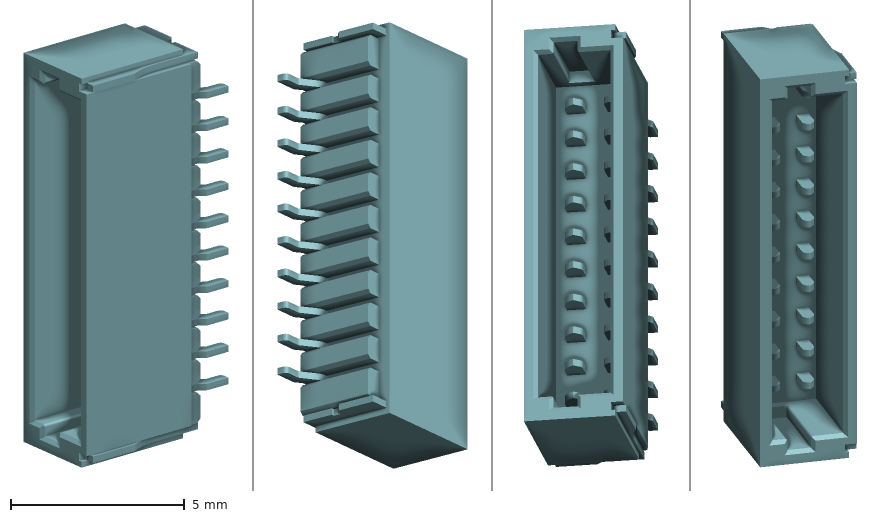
import cadquery as cq


overall_length = 12.0
housing_width = 2.67
housing_depth = 3.75
lip_right = 2.90
lip_depth = 3.87
lip_end_gap = 0.42

mouth_chamfer = 0.11
cavity_left = 0.39
cavity_right = 2.52
cavity_end_wall = 0.75
cavity_depth = 2.9
key_left = 0.85
key_right = 1.55
key_end_wall = 0.40
key_depth = 2.6
key_corner_radius = 0.08

contact_count = 10
pitch = 1.0
contact_thickness = 0.2
pin_tip_y = 2.1
left_pin = (0.72, 1.28)
left_pin_tip = (1.04, 1.06)
left_tip_height = 0.5
right_pin = (1.92, 2.30)
right_pin_tip = (2.08, 2.14)
right_tip_height = 0.2
bevel_height = 0.2
bevel_radius = 0.2

foot_left = 2.62
foot_right = 2.95
foot_end_y = 5.21
foot_corner_radius = 0.13
foot_outer_bend_y = 4.64
foot_inner_bend_y = 4.42
shank_left = 2.20
shank_right = 2.78
shank_outer_bend_y = 4.05
shank_bend_radius = 0.38
foot_bend_radius = 0.12
shank_inner_bend_y = 4.20

rib_left = 0.39
rib_right = 2.83
rib_back_y = 4.26
rib_slot = 0.28
rib_chamfer = 0.11

clip_thickness = 0.2
clip_end_gap = 0.18
clip_left = 0.11
clip_inner = 2.545
clip_waist_right = 2.74
clip_right = foot_right
clip_front_y = 0.2
clip_corner_radius = 0.19
clip_flare_start_y = 2.63
clip_flare_end_y = 1.75
clip_back_y = 4.40
clip_back_low_y = 4.24
clip_slope_left = 1.33
clip_notch_right = 1.71
clip_notch_y = 4.13

half_length = overall_length / 2
overlap = 0.1


def box(x_min, x_max, y_min, y_max, z_min, z_max):
    """Box given by its limits."""
    size = (x_max - x_min, y_max - y_min, z_max - z_min)
    return cq.Workplane("XY").box(*size, centered=False).translate((x_min, y_min, z_min))


def plate(outline, thickness, z_middle):
    """Extrude a closed XY outline to a plate centred on z_middle."""
    return outline.extrude(thickness).translate((0, 0, z_middle - thickness / 2))


def fillet_at(part, x, y, radius):
    """Round the upright edge of a plate that passes through (x, y)."""
    return part.edges("|Z").edges(cq.selectors.NearestToPointSelector((x, y, 0))).fillet(radius)


def row_height(row):
    """Z of a contact row."""
    return (row - (contact_count - 1) / 2) * pitch


def make_housing():
    """Solid block with the raised strip along its right-hand wall."""
    block = box(0, housing_width, 0, housing_depth, -half_length, half_length)
    lip_end = half_length - lip_end_gap
    lip = box(housing_width - overlap, lip_right, 0, lip_depth, -lip_end, lip_end)
    return block.union(lip)


def make_cavity():
    """Rectangular socket with a key recess at each end."""
    end = half_length - cavity_end_wall
    key_end = half_length - key_end_wall
    socket = box(cavity_left, cavity_right, 0, cavity_depth, -end, end)
    key = box(key_left, key_right, 0, key_depth, -key_end, key_end)
    cavity = socket.union(key)
    for x in (key_left, key_right):
        for z in (-end, end):
            corner = cq.selectors.NearestToPointSelector((x, key_depth / 2, z))
            cavity = cavity.edges("|Y").edges(corner).fillet(key_corner_radius)
    return cavity


def make_mouth():
    """Flared opening: the cavity outline grown at the mating face."""
    end = half_length - cavity_end_wall
    key_end = half_length - key_end_wall

    def flared(x_min, x_max, z_end):
        grow = mouth_chamfer
        return (
            cq.Workplane("XZ")
            .center((x_min + x_max) / 2, 0)
            .rect(x_max - x_min + 2 * grow, 2 * (z_end + grow))
            .workplane(offset=-grow)
            .rect(x_max - x_min, 2 * z_end)
            .loft(ruled=True)
        )

    return flared(cavity_left, cavity_right, end).union(flared(key_left, key_right, key_end))


def make_ribs():
    """Rear ribs, left standing between the contact slots."""
    rib_edges = [-(half_length - lip_end_gap)]
    for row in range(contact_count):
        z = row_height(row)
        rib_edges += [z - rib_slot / 2, z + rib_slot / 2]
    rib_edges.append(half_length - lip_end_gap)
    ribs = cq.Workplane("XY")
    for z_min, z_max in zip(rib_edges[0::2], rib_edges[1::2]):
        rib = box(rib_left, rib_right, housing_depth - overlap, rib_back_y, z_min, z_max)
        ribs = ribs.union(rib.faces(">Y").edges("|X").chamfer(rib_chamfer))
    return ribs


def make_pin(sides, tip, tip_height):
    """Blade standing on the cavity floor, its point rounded on the left and bevelled on the right."""
    shoulder_y = pin_tip_y + tip_height
    bevel_y = pin_tip_y + bevel_height
    root_y = cavity_depth + overlap
    outline = (
        cq.Workplane("XY")
        .moveTo(sides[0], root_y)
        .lineTo(sides[0], shoulder_y)
        .tangentArcPoint((tip[0], pin_tip_y), relative=False)
        .lineTo(tip[1], pin_tip_y)
        .lineTo(sides[1], bevel_y)
        .lineTo(sides[1], root_y)
        .close()
    )
    pin = plate(outline, contact_thickness, 0)
    return fillet_at(pin, sides[1], bevel_y, bevel_radius)


def make_foot():
    """Cranked solder foot leaving the rear of the housing."""
    root_y = housing_depth - overlap
    outline = (
        cq.Workplane("XY")
        .moveTo(shank_left, root_y)
        .lineTo(shank_left, shank_outer_bend_y)
        .lineTo(foot_left, foot_outer_bend_y)
        .lineTo(foot_left, foot_end_y - foot_corner_radius)
        .radiusArc((foot_left + foot_corner_radius, foot_end_y), foot_corner_radius)
        .lineTo(foot_right, foot_end_y)
        .lineTo(foot_right, foot_inner_bend_y)
        .lineTo(shank_right, shank_inner_bend_y)
        .lineTo(shank_right, root_y)
        .close()
    )
    foot = plate(outline, contact_thickness, 0)
    foot = fillet_at(foot, foot_right, foot_inner_bend_y, foot_bend_radius)
    foot = fillet_at(foot, shank_left, shank_outer_bend_y, shank_bend_radius)
    return fillet_at(foot, foot_left, foot_outer_bend_y, foot_bend_radius)


def make_clip():
    """Flat clip: a rear bar and a side arm that flares out towards the front."""
    arm_corner_x = clip_inner + clip_corner_radius
    arm_corner_y = clip_front_y + clip_corner_radius
    clip_notch_left = clip_slope_left + clip_back_y - clip_back_low_y
    outline = (
        cq.Workplane("XY")
        .moveTo(clip_left, housing_depth - overlap)
        .lineTo(clip_left, clip_back_y)
        .lineTo(clip_slope_left, clip_back_y)
        .lineTo(clip_notch_left, clip_back_low_y)
        .lineTo(clip_notch_left, clip_notch_y)
        .lineTo(clip_notch_right, clip_notch_y)
        .lineTo(clip_notch_right, clip_back_low_y)
        .lineTo(clip_waist_right, clip_back_low_y)
        .lineTo(clip_waist_right, clip_flare_start_y)
        .tangentArcPoint((clip_right, clip_flare_end_y), relative=False)
        .lineTo(clip_right, clip_front_y)
        .lineTo(arm_corner_x, clip_front_y)
        .radiusArc((clip_inner, arm_corner_y), clip_corner_radius)
        .lineTo(clip_inner, housing_depth - overlap)
        .close()
    )
    return plate(outline, clip_thickness, half_length - clip_end_gap - clip_thickness / 2)


def make_clip_groove():
    """Groove in the right-hand wall that the clip arm lies in."""
    z_min = half_length - lip_end_gap
    z_max = half_length - clip_end_gap
    return box(clip_inner, clip_right, 0, housing_depth, z_min, z_max)


def make_contacts():
    """Every row: two pins in the cavity and one solder foot."""
    left = make_pin(left_pin, left_pin_tip, left_tip_height)
    right = make_pin(right_pin, right_pin_tip, right_tip_height)
    foot = make_foot()
    return [
        part.translate((0, 0, row_height(row)))
        for row in range(contact_count)
        for part in (left, right, foot)
    ]


result = make_housing().cut(make_cavity()).cut(make_mouth()).union(make_ribs())

groove = make_clip_groove()
clip = make_clip()
result = result.cut(groove).cut(groove.mirror("XY"))
result = result.union(clip).union(clip.mirror("XY"))

for contact in make_contacts():
    result = result.union(contact)